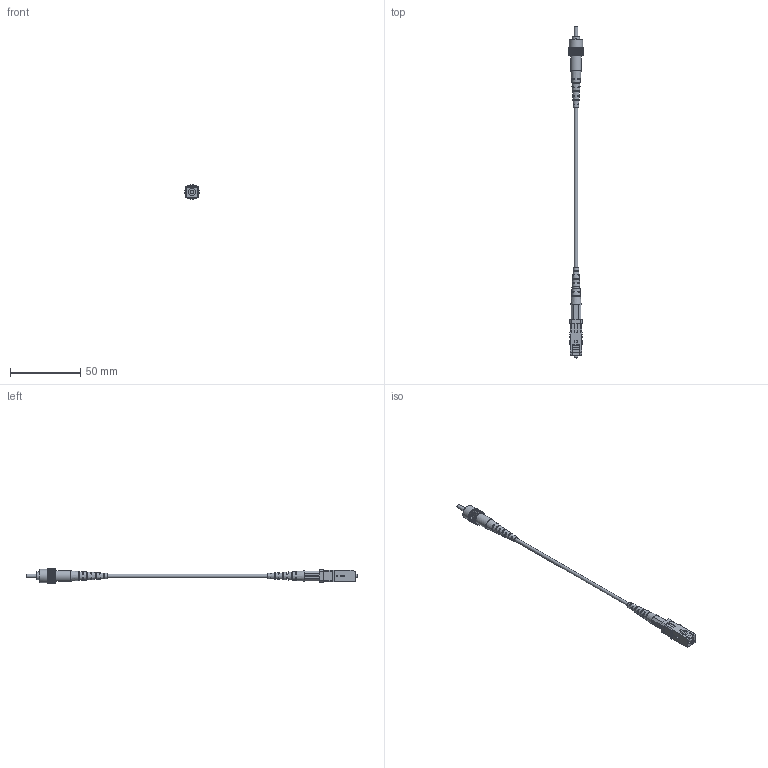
import cadquery as cq
import math


total_length = 236.14
round_tip_length = 7.4
nose_length = 2.0
nut_front_length = 5.9
knurl_length = 6.0
barrel_length = 10.3
boot_length = 26.2
crimp_length = 10.7
flange_length = 2.9
neck_length = 6.3
head_length = 16.4
square_tip_length = 1.9

tip_y = total_length / 2
nose_y = tip_y - round_tip_length
nut_front_y = nose_y - nose_length
knurl_front_y = nut_front_y - nut_front_length
knurl_back_y = knurl_front_y - knurl_length
barrel_back_y = knurl_back_y - barrel_length
head_face_y = -total_length / 2 + square_tip_length
head_back_y = head_face_y + head_length
neck_back_y = head_back_y + neck_length
flange_back_y = neck_back_y + flange_length
crimp_back_y = flange_back_y + crimp_length

ferrule_diameter = 2.5
ferrule_socket_depth = 8.0
ferrule_tip_chamfer = 0.2

nose_diameter = 5.2
nose_chamfer = 0.3
key_width = 0.7
key_length = 1.7
key_top = 3.1
nut_diameter = 9.6
knurl_diameter = 10.3
knurl_depth = 0.4
knurl_teeth = 40
barrel_diameter = 7.8

boot_wide_diameter = 7.3
boot_narrow_diameter = 3.7
boot_least_wall = 0.3
boot_groove_count = 7
boot_groove_width = 0.8
boot_groove_pitch = 3.0
boot_groove_start = 5.5
boot_groove_depth = 0.5
boot_bridge_width = 2.4

cable_diameter = 2.5

crimp_width = 6.6
crimp_chamfer = 1.5
crimp_rib_height = 0.7
crimp_rib_width = 6.9
flange_width = 9.2
flange_chamfer = 1.6
head_width = 7.9
neck_chamfer = 0.6
key_slot_width = 2.1
key_slot_depth = 0.6
ledge_length = 1.4
ledge_width = 9.2
catch_height = 0.7
catches = [(3.0, 0.9), (5.6, 3.4)]
brow_length = 2.3
brow_drop = 0.7
brow_radius = (brow_length**2 + brow_drop**2) / (2 * brow_drop)
face_bore_diameter = 5.0
face_bore_depth = 8.0
window_length = 1.4
window_drop = 0.3
window_start = 5.6
window_count = 2
step_pocket_width = 5.0
step_starts = [8.4, 9.5, 10.5, 12.0, 14.2]
step_drop = 0.2


def rod(diameter, y_from, y_to):
    """Cylinder on the Y axis between two places."""
    return cq.Workplane("XZ", origin=(0, y_to, 0)).circle(diameter / 2).extrude(y_to - y_from)


def bar(width, chamfer, y_from, y_to):
    """Square bar on the Y axis with its four long edges chamfered."""
    square = cq.Workplane("XZ", origin=(0, y_to, 0)).rect(width, width).extrude(y_to - y_from)
    return square.edges("|Y").chamfer(chamfer) if chamfer else square


def block(x_size, y_from, y_to, z_from, z_to):
    """Box centred on X, given by its ends in Y and Z."""
    return cq.Workplane("XY", origin=(0, (y_from + y_to) / 2, z_from)).box(
        x_size, y_to - y_from, z_to - z_from, centered=(True, True, False)
    )


def make_round_ferrule():
    return rod(ferrule_diameter, nose_y - ferrule_socket_depth, tip_y)


def make_barrel():
    nose = rod(nose_diameter, knurl_back_y, nose_y).faces(">Y").edges().chamfer(nose_chamfer)
    key = block(key_width, nut_front_y, nut_front_y + key_length, nose_diameter / 4, key_top)
    sleeve = rod(barrel_diameter, barrel_back_y, knurl_back_y)
    socket = rod(ferrule_diameter, nose_y - ferrule_socket_depth, nose_y)
    return sleeve.union(nose).union(key).cut(socket)


def make_nut():
    front = rod(nut_diameter, knurl_front_y, nut_front_y)
    outline_points = 2 * knurl_teeth
    radii = [knurl_diameter / 2, knurl_diameter / 2 - knurl_depth]
    outline = []
    for i in range(outline_points):
        angle = 2 * math.pi * i / outline_points
        outline.append((radii[i % 2] * math.cos(angle), radii[i % 2] * math.sin(angle)))
    knurl = cq.Workplane("XZ", origin=(0, knurl_front_y, 0)).polyline(outline).close().extrude(knurl_length)
    return front.union(knurl).cut(rod(nose_diameter, knurl_back_y, nut_front_y))


def make_boot():
    """Boot tapering up from the XY plane.

    Each groove is crossed by two bridges, and every second groove is turned by 90 degrees.
    """
    boot = (
        cq.Workplane("XZ")
        .moveTo(cable_diameter / 2, 0)
        .lineTo(boot_wide_diameter / 2, 0)
        .lineTo(boot_narrow_diameter / 2, boot_length)
        .lineTo(cable_diameter / 2, boot_length)
        .close()
        .revolve(360, (0, 0), (0, 1))
    )
    taper = (boot_wide_diameter - boot_narrow_diameter) / 2 / boot_length
    for i in range(boot_groove_count):
        start = boot_groove_start + i * boot_groove_pitch
        surface_radius = boot_wide_diameter / 2 - taper * start
        core_radius = max(surface_radius - boot_groove_depth, cable_diameter / 2 + boot_least_wall)
        groove = cq.Workplane("XY", origin=(0, 0, start)).circle(boot_wide_diameter).circle(core_radius)
        groove = groove.extrude(boot_groove_width)
        bridge = cq.Workplane("XY", origin=(0, 0, start)).rect(3 * boot_wide_diameter, boot_bridge_width)
        bridge = bridge.extrude(boot_groove_width).rotate((0, 0, 0), (0, 0, 1), 90 * (i % 2))
        boot = boot.cut(groove.cut(bridge))
    return boot


def make_square_housing():
    crimp = bar(crimp_width, crimp_chamfer, flange_back_y, crimp_back_y)
    flange = bar(flange_width, flange_chamfer, neck_back_y, flange_back_y)
    neck = bar(head_width, neck_chamfer, head_back_y, neck_back_y)
    head = bar(head_width, 0, head_face_y, head_back_y)
    housing = crimp.union(flange).union(neck).union(head)

    top = head_width / 2
    housing = housing.union(block(ledge_width, head_back_y - ledge_length, head_back_y, -top, top))
    for offset, length in catches:
        catch_y = head_back_y - offset
        catch = block(ledge_width, catch_y - length, catch_y, -catch_height / 2, catch_height / 2)
        housing = housing.union(catch)

    rib_top = crimp_rib_height / 2
    housing = housing.union(block(crimp_rib_width, flange_back_y, crimp_back_y, -rib_top, rib_top))

    housing = housing.cut(block(key_slot_width, head_back_y, neck_back_y, top - key_slot_depth, top))

    for i in range(window_count):
        window_y = head_back_y - window_start - i * window_length
        floor = top - (i + 1) * window_drop
        housing = housing.cut(block(key_slot_width, window_y - window_length, window_y, floor, top))

    for i, start in enumerate(step_starts):
        floor = top - (i + 1) * step_drop
        housing = housing.cut(block(step_pocket_width, head_face_y, head_back_y - start, floor, top))

    brow = (
        cq.Workplane("YZ", origin=(-head_width, 0, 0))
        .moveTo(head_face_y + brow_length, top)
        .radiusArc((head_face_y, top - brow_drop), -brow_radius)
        .lineTo(head_face_y, top)
        .close()
        .extrude(2 * head_width)
    )
    housing = housing.cut(brow)

    bore_end_y = head_face_y + face_bore_depth
    housing = housing.cut(rod(face_bore_diameter, head_face_y, bore_end_y))
    return housing.cut(rod(ferrule_diameter, bore_end_y, bore_end_y + ferrule_socket_depth))


def make_square_ferrule():
    socket_end_y = head_face_y + face_bore_depth + ferrule_socket_depth
    ferrule = rod(ferrule_diameter, -total_length / 2, socket_end_y)
    return ferrule.faces("<Y").edges().chamfer(ferrule_tip_chamfer)


round_ferrule = make_round_ferrule()
barrel = make_barrel()
nut = make_nut()
cable = rod(cable_diameter, crimp_back_y, barrel_back_y)
round_boot = make_boot().rotate((0, 0, 0), (0, 0, 1), 90).rotate((0, 0, 0), (1, 0, 0), 90)
round_boot = round_boot.translate((0, barrel_back_y, 0))
square_boot = make_boot().rotate((0, 0, 0), (1, 0, 0), -90).translate((0, crimp_back_y, 0))
square_housing = make_square_housing()
square_ferrule = make_square_ferrule()

result = cq.Compound.makeCompound([
    round_ferrule.val(),
    barrel.val(),
    nut.val(),
    round_boot.val(),
    cable.val(),
    square_boot.val(),
    square_housing.val(),
    square_ferrule.val(),
])